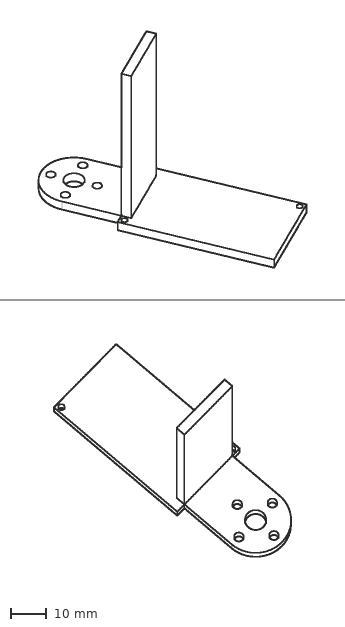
import cadquery as cq

length = 75.0
plate_width = 26.0
height = 54.9
thickness = 3.0

tongue_width = 20.0
tongue_radius = tongue_width / 2
plate_length = 47.0
plate_end_x = length - tongue_radius
plate_start_x = plate_end_x - plate_length

center_hole_diameter = 6.0
ring_hole_diameter = 2.7
ring_radius = 7.0
ring_hole_count = 4
corner_hole_diameter = 1.8
corner_hole_inset = 1.5


def block(x_start, x_size, y_size, z_size):
    """Box standing on Z = 0, centred on Y and starting at x_start."""
    return (
        cq.Workplane("XY")
        .box(x_size, y_size, z_size, centered=(False, True, False))
        .translate((x_start, 0, 0))
    )


tongue = block(0, plate_start_x, tongue_width, thickness).union(
    cq.Workplane("XY").circle(tongue_radius).extrude(thickness)
)
plate = block(plate_start_x, plate_length, plate_width, thickness)

wall = block(plate_start_x, thickness, tongue_width, height)

center_hole = cq.Workplane("XY").circle(center_hole_diameter / 2).extrude(thickness)
ring_holes = (
    cq.Workplane("XY")
    .polarArray(ring_radius, 0, 360, ring_hole_count)
    .circle(ring_hole_diameter / 2)
    .extrude(thickness)
)

corner_hole_y = plate_width / 2 - corner_hole_inset
corner_holes = (
    cq.Workplane("XY")
    .pushPoints([
        (plate_start_x + corner_hole_inset, -corner_hole_y),
        (plate_end_x - corner_hole_inset, corner_hole_y),
    ])
    .circle(corner_hole_diameter / 2)
    .extrude(thickness)
)

result = tongue.union(plate).union(wall).cut(center_hole).cut(ring_holes).cut(corner_holes)